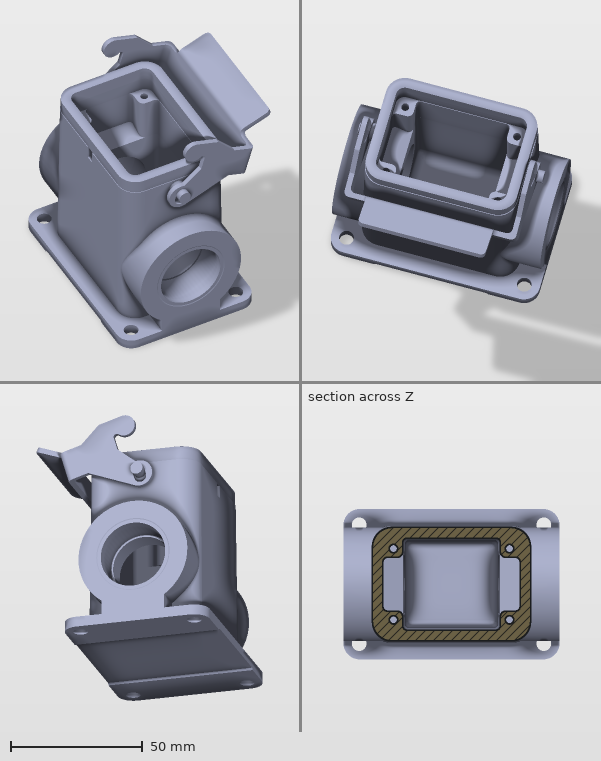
import cadquery as cq
import math

base_length = 82.0
base_width = 57.0
base_height = 4.0
base_corner_radius = 6.2
mount_hole_diameter = 5.6
mount_hole_x = 35.0
mount_hole_y = 22.5
relief_height = 0.75
relief_bottom_half = 22.4
relief_top_half = 21.7

foot_half_x = 30.85
foot_half_y = 22.15
shoulder_half_x = 29.9
shoulder_half_y = 21.5
shell_corner_radius = 7.6
shoulder_z = 68.0

rim_half_x = 29.65
rim_half_y = 21.25
rim_corner_radius = 7.45
rim_wall = 3.95
rim_edge_z = 73.25
rim_crown = 0.45

notch_width = 3.5
notch_height = 5.0
notch_depth = 1.0

entry_z = 27.0
entry_diameter = 43.1
entry_inner_x = 20.0
pedestal_width = 24.8
bore_diameter = 25.5
bore_end_x = 27.0
passage_diameter = 24.0
mouth_outer_diameter = 29.0
mouth_inner_diameter = 28.3
mouth_depth = 0.15

throat_half_x = rim_half_x - rim_wall
throat_half_y = rim_half_y - rim_wall
throat_corner_radius = rim_corner_radius - rim_wall
undercut = 0.2
post_top_z = 62.4
post_side_x = 18.4
post_side_y = 10.1
post_corner_radius = 2.3
post_root_radius = 1.5
post_hole_diameter = 3.0
post_hole_depth = 12.0
post_hole_x = 22.0
post_hole_y = 13.5
shelf_outer_z = 48.0
shelf_inner_z = 44.7
floor_z = 10.0
floor_half_x = 17.6
floor_half_y = 16.5
floor_radius = 3.0

pin_z = 63.7
pin_diameter = 4.8
pin_end_x = 36.4
collar_diameter = 7.0
collar_seat_x = 28.9
collar_end_x = 31.8
collar_round = 0.8

lever_thickness = 2.0
lever_half_width = collar_end_x + lever_thickness
lever_opening_angle = 16.5
lever_back_y = 27.2
lever_bottom_z = 6.55
lever_top_z = 18.55
lever_bend_radius = 2.0
lever_knee_y = 18.8
lever_shoulder_y = 18.1
eye_radius = 5.1
eye_slot_travel = 2.5
hook_radius = 4.1
hook_center_z = 19.53
hook_back_y = 9.4
hook_back_round = 1.0
hook_throat_y = 5.3
hook_throat_bottom_z = 11.3
hook_throat_radius = 1.15
handle_half_width = 25.0
handle_angle = 36.0
handle_root_z = 19.8
handle_length = 12.46
handle_inner_radius = 0.6
handle_tip_radius = 2.0
neck_radius = 2.0


def rounded_block(half_x, half_y, radius, bottom_z, top_z):
    """Upright block, centred on Z, with rounded vertical edges."""
    block = cq.Workplane("XY", origin=(0, 0, bottom_z)).rect(2 * half_x, 2 * half_y)
    return block.extrude(top_z - bottom_z).edges("|Z").fillet(radius)


def side_trapezoid(plane_name, bottom_half, bottom_z, top_half, top_z, reach):
    """Prism with a symmetric trapezoid section, reaching equally to both sides of its plane."""
    return (
        cq.Workplane(plane_name)
        .moveTo(-bottom_half, bottom_z)
        .lineTo(bottom_half, bottom_z)
        .lineTo(top_half, top_z)
        .lineTo(-top_half, top_z)
        .close()
        .extrude(reach, both=True)
    )


def drafted_block(bottom_half, bottom_z, top_half, top_z):
    """Block with four flat drafted sides; the half sizes are (x, y) pairs."""
    reach = max(*bottom_half, *top_half)
    along_x = side_trapezoid("XZ", bottom_half[0], bottom_z, top_half[0], top_z, reach)
    along_y = side_trapezoid("YZ", bottom_half[1], bottom_z, top_half[1], top_z, reach)
    return along_x.intersect(along_y)


def rounded_drafted_block(bottom_half, bottom_z, top_half, top_z, radius):
    """Drafted block with its four slanting edges rounded."""
    block = drafted_block(bottom_half, bottom_z, top_half, top_z)
    return block.edges("not(|X or |Y)").fillet(radius)


def x_cylinder(diameter, y, z, start_x, end_x):
    """Cylinder along X between two X positions."""
    plane = cq.Workplane("YZ", origin=(start_x, y, z))
    return plane.circle(diameter / 2).extrude(end_x - start_x)


def make_base():
    base = rounded_block(base_length / 2, base_width / 2, base_corner_radius, 0, base_height)
    corners = [(x, y) for x in (-mount_hole_x, mount_hole_x) for y in (-mount_hole_y, mount_hole_y)]
    holes = cq.Workplane("XY").pushPoints(corners).circle(mount_hole_diameter / 2).extrude(base_height)
    relief = (
        cq.Workplane("XZ")
        .moveTo(-relief_bottom_half, 0)
        .lineTo(relief_bottom_half, 0)
        .lineTo(relief_top_half, relief_height)
        .lineTo(-relief_top_half, relief_height)
        .close()
        .extrude(base_width / 2, both=True)
    )
    return base.cut(holes).cut(relief)


def make_shell():
    return rounded_drafted_block(
        (foot_half_x, foot_half_y),
        base_height,
        (shoulder_half_x, shoulder_half_y),
        shoulder_z,
        shell_corner_radius,
    )


def rim_section(plane):
    """Wall section of the rim with its domed top, the inner side at local x = 0."""
    return (
        plane.moveTo(0, shoulder_z)
        .lineTo(rim_wall, shoulder_z)
        .lineTo(rim_wall, rim_edge_z)
        .threePointArc((rim_wall / 2, rim_edge_z + rim_crown), (0, rim_edge_z))
        .close()
    )


def make_rim():
    """Ring around the opening: straight runs joined by quarter turns."""
    corner_x = throat_half_x - throat_corner_radius
    corner_y = throat_half_y - throat_corner_radius
    run_x = rim_section(cq.Workplane("YZ", origin=(-corner_x, throat_half_y, 0))).extrude(2 * corner_x)
    run_y = rim_section(cq.Workplane("XZ", origin=(throat_half_x, corner_y, 0))).extrude(2 * corner_y)
    corner_section = rim_section(cq.Workplane("XZ", origin=(throat_half_x, corner_y, 0)))
    turn = corner_section.revolve(90, (-throat_corner_radius, 0), (-throat_corner_radius, 1))
    half = run_y.union(turn).union(turn.mirror("XZ"))
    rim = half.union(half.mirror("YZ"))
    return rim.union(run_x).union(run_x.mirror("XZ"))


def make_entry(side):
    """Cable entry boss on its pedestal; side is -1 or 1."""
    end_x = side * base_length / 2
    boss = x_cylinder(entry_diameter, 0, entry_z, side * entry_inner_x, end_x)
    length = base_length / 2 - entry_inner_x
    height = entry_z - base_height
    pedestal = cq.Workplane("XY").box(length, pedestal_width, height, centered=(True, True, False))
    return boss.union(pedestal.translate((side * (entry_inner_x + length / 2), 0, base_height)))


def make_bore(side):
    """Stepped bore from the entry mouth through to the cavity; side is -1 or 1."""
    end_x = base_length / 2
    profile = (
        cq.Workplane("XY")
        .lineTo(end_x, 0)
        .lineTo(end_x, mouth_outer_diameter / 2)
        .lineTo(end_x - mouth_depth, mouth_inner_diameter / 2)
        .lineTo(end_x - mouth_depth, bore_diameter / 2)
        .lineTo(bore_end_x, bore_diameter / 2)
        .lineTo(bore_end_x, passage_diameter / 2)
        .lineTo(0, passage_diameter / 2)
        .close()
    )
    bore = profile.revolve(360, (0, 0), (1, 0)).translate((0, 0, entry_z))
    return bore if side > 0 else bore.mirror("YZ")


def make_throat():
    """Opening inside the rim, widening slightly below the shoulder down to the post tops."""
    rim_top_z = rim_edge_z + rim_crown
    opening = rounded_block(throat_half_x, throat_half_y, throat_corner_radius, shoulder_z, rim_top_z)
    flare = rounded_drafted_block(
        (throat_half_x + undercut, throat_half_y + undercut),
        post_top_z,
        (throat_half_x, throat_half_y),
        shoulder_z,
        throat_corner_radius,
    )
    return opening.union(flare)


def make_post_pocket():
    """Cross-shaped space between the four corner posts, ending on sloping shelves at both ends."""
    end_x = throat_half_x + undercut
    side_y = throat_half_y
    depth = post_top_z - shelf_inner_z
    plane = cq.Workplane("XY", origin=(0, 0, shelf_inner_z))
    middle = plane.rect(2 * post_side_x, 2 * side_y).extrude(depth).edges("|Z").fillet(post_root_radius)
    arms = plane.rect(2 * end_x, 2 * post_side_y).extrude(depth).edges("|Z").fillet(post_root_radius)
    pocket = middle.union(arms)
    for x in (-post_side_x, post_side_x):
        for y in (-post_side_y, post_side_y):
            post_corner = cq.selectors.NearestToPointSelector((x, y, shelf_inner_z + depth / 2))
            pocket = pocket.edges(post_corner).fillet(post_corner_radius)
    shelves = (
        cq.Workplane("XZ")
        .moveTo(-end_x, post_top_z)
        .lineTo(-end_x, shelf_outer_z)
        .lineTo(-post_side_x, shelf_inner_z)
        .lineTo(post_side_x, shelf_inner_z)
        .lineTo(end_x, shelf_outer_z)
        .lineTo(end_x, post_top_z)
        .close()
        .extrude(side_y, both=True)
    )
    return pocket.intersect(shelves)


def make_chamber():
    """Tapered lower space with a rounded floor edge."""
    chamber = drafted_block(
        (floor_half_x, floor_half_y),
        floor_z,
        (post_side_x, throat_half_y),
        shelf_inner_z,
    )
    chamber = chamber.edges("not(|X or |Y)").fillet(post_root_radius)
    return chamber.faces("<Z").edges().fillet(floor_radius)


def make_post_holes():
    places = [(x, y) for x in (-post_hole_x, post_hole_x) for y in (-post_hole_y, post_hole_y)]
    plane = cq.Workplane("XY", origin=(0, 0, post_top_z))
    return plane.pushPoints(places).circle(post_hole_diameter / 2).extrude(-post_hole_depth)


def make_notch():
    front_y = -foot_half_y
    depth = foot_half_y - shoulder_half_y + notch_depth
    notch = cq.Workplane("XY").box(notch_width, depth, notch_height, centered=(True, False, False))
    return notch.translate((0, front_y, shoulder_z - notch_height))


def make_housing():
    housing = make_base().union(make_shell()).union(make_rim())
    for side in (-1, 1):
        housing = housing.union(make_entry(side))
    for space in (make_throat(), make_post_pocket(), make_chamber(), make_post_holes(), make_notch()):
        housing = housing.cut(space)
    for side in (-1, 1):
        seat = x_cylinder(collar_diameter, 0, pin_z, side * collar_seat_x, side * collar_end_x)
        housing = housing.cut(make_bore(side)).cut(seat)
    return housing


def make_pin(side):
    """Pin with a round-edged collar seated in the housing wall; side is -1 or 1."""
    collar = x_cylinder(collar_diameter, 0, pin_z, collar_seat_x, collar_end_x)
    collar = collar.faces(">X").edges().fillet(collar_round)
    pin = collar.union(x_cylinder(pin_diameter, 0, pin_z, collar_seat_x, pin_end_x))
    return pin if side > 0 else pin.mirror("YZ")


def make_side_plates():
    """Channel with hooked side plates and a back plate."""
    hook_top_z = hook_center_z + hook_radius
    round_y = hook_throat_y - hook_throat_radius
    round_z = hook_center_z - math.sqrt((hook_radius + hook_throat_radius) ** 2 - round_y**2)
    touch = hook_radius / (hook_radius + hook_throat_radius)
    touch_y = touch * round_y
    touch_z = hook_center_z + touch * (round_z - hook_center_z)
    eye_z = -eye_slot_travel / 2
    eye_distance = math.hypot(lever_knee_y, lever_bottom_z - eye_z)
    knee_angle = math.atan2(lever_bottom_z - eye_z, lever_knee_y)
    tangent_angle = knee_angle - math.acos(eye_radius / eye_distance)
    tangent_y = eye_radius * math.cos(tangent_angle)
    tangent_z = eye_z + eye_radius * math.sin(tangent_angle)

    side = (
        cq.Workplane("YZ", origin=(-lever_half_width, 0, 0))
        .moveTo(0, hook_top_z)
        .threePointArc((-hook_radius, hook_center_z), (touch_y, touch_z))
        .threePointArc((round_y, round_z + hook_throat_radius), (hook_throat_y, round_z))
        .lineTo(hook_throat_y, hook_throat_bottom_z)
        .lineTo(0, eye_z + eye_radius)
        .threePointArc((-eye_radius, eye_z), (tangent_y, tangent_z))
        .lineTo(lever_knee_y, lever_bottom_z)
        .lineTo(lever_back_y, lever_bottom_z)
        .lineTo(lever_back_y, lever_top_z)
        .lineTo(lever_shoulder_y, lever_top_z)
        .lineTo(hook_back_y, hook_top_z)
        .close()
        .extrude(2 * lever_half_width)
    )
    side = side.faces(">Y").edges("|Z").fillet(lever_bend_radius)
    hook_back = cq.selectors.NearestToPointSelector((0, hook_back_y, hook_top_z))
    side = side.edges(hook_back).fillet(hook_back_round)

    inside_back_y = lever_back_y - lever_thickness
    inside = (
        cq.Workplane("XY")
        .box(2 * collar_end_x, 2 * inside_back_y, 4 * hook_top_z)
        .edges("|Z")
        .fillet(lever_bend_radius)
    )
    slot_length = eye_slot_travel + pin_diameter
    slots = (
        cq.Workplane("YZ", origin=(0, 0, eye_z))
        .slot2D(slot_length, pin_diameter, 90)
        .extrude(lever_half_width, both=True)
    )
    return side.cut(inside).cut(slots)


def make_handle():
    """Strip that leaves the back plate's top edge and bends outward, with rounded tip corners."""
    angle = math.radians(handle_angle)
    along_y = math.cos(angle)
    along_z = math.sin(angle)
    tip_y = lever_back_y + handle_length * along_y
    tip_z = handle_root_z + handle_length * along_z
    inner_y = lever_back_y - lever_thickness
    inner_z = handle_root_z + lever_thickness * (1 - along_z) / along_y
    root_z = lever_top_z - lever_thickness
    neck_half_width = handle_half_width + neck_radius
    strip = (
        cq.Workplane("YZ", origin=(-neck_half_width, 0, 0))
        .moveTo(lever_back_y, root_z)
        .lineTo(lever_back_y, handle_root_z)
        .lineTo(tip_y, tip_z)
        .lineTo(tip_y - lever_thickness * along_z, tip_z + lever_thickness * along_y)
        .lineTo(inner_y, inner_z)
        .lineTo(inner_y, root_z)
        .close()
        .extrude(2 * neck_half_width)
    )
    outer_corner = cq.selectors.NearestToPointSelector((0, lever_back_y, handle_root_z))
    strip = strip.edges(outer_corner).fillet(handle_inner_radius)
    inner_corner = cq.selectors.NearestToPointSelector((0, inner_y, inner_z))
    strip = strip.edges(inner_corner).fillet(handle_inner_radius + lever_thickness)

    neck_top_z = lever_top_z + neck_radius
    arc_offset = neck_radius * (1 - math.cos(math.pi / 4))
    arc_middle_x = handle_half_width + arc_offset
    arc_middle_z = lever_top_z + arc_offset
    clear_z = 2 * tip_z
    outline = (
        cq.Workplane("XZ")
        .moveTo(-neck_half_width, root_z)
        .lineTo(neck_half_width, root_z)
        .lineTo(neck_half_width, lever_top_z)
        .threePointArc((arc_middle_x, arc_middle_z), (handle_half_width, neck_top_z))
        .lineTo(handle_half_width, clear_z)
        .lineTo(-handle_half_width, clear_z)
        .lineTo(-handle_half_width, neck_top_z)
        .threePointArc((-arc_middle_x, arc_middle_z), (-neck_half_width, lever_top_z))
        .close()
        .extrude(-2 * tip_y)
    )
    strip = strip.intersect(outline)
    tip_edges = cq.selectors.ParallelDirSelector(cq.Vector(0, -along_z, along_y))
    return strip.edges(tip_edges).fillet(handle_tip_radius)


def make_lever():
    lever = make_side_plates().union(make_handle())
    lever = lever.rotate((0, 0, 0), (1, 0, 0), -lever_opening_angle)
    return lever.translate((0, 0, pin_z))


housing = make_housing()
lever = make_lever()
pins = [make_pin(side) for side in (-1, 1)]

result = cq.Compound.makeCompound([housing.val(), lever.val(), *[pin.val() for pin in pins]])